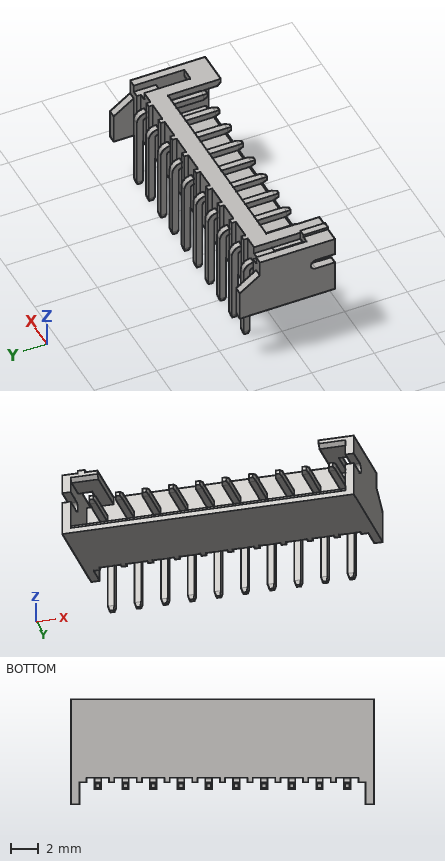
import cadquery as cq
import math


width = 21.9
depth = 7.6
height = 8.4

housing_height = 4.82
side_wall = 0.64
top_wall = 0.6
floor = 0.7
back_face = 5.67
cavity_depth = 4.23
lead_in_height = 0.3
lead_in_depth = 0.26
window_width = 16.6
cheek_top_depth = 6.0
cheek_slope_top = 3.6
cheek_slope_bottom = 2.45

notch_depth = 1.93
notch_bottom = 2.56
notch_height = 0.79
slot_front = 1.97
slot_width = 1.05
rib_width = 0.53
rib_height = 0.2

pin_count = 10
pin_row_length = 18.0
pin_size = 0.5
pin_axis_height = 3.1
pin_tip_y = 0.79
pin_leg_y = 6.25
pin_bend_radius = 0.75
contact_tip_length = 0.4
leg_tip_length = 0.35
tip_size = 0.3

tooth_width = 0.4

pitch = pin_row_length / (pin_count - 1)
ceiling = housing_height - top_wall
inner_width = width - 2 * side_wall
pin_leg_length = height - housing_height - rib_height


def box(x_min, x_max, y_min, y_max, z_min, z_max):
    """Box between two opposite corners."""
    size = (x_max - x_min, y_max - y_min, z_max - z_min)
    return cq.Workplane("XY").box(*size, centered=False).translate((x_min, y_min, z_min))


def across(profile, span):
    """Extrude a YZ profile to a width that is centred on X = 0."""
    return profile.extrude(span / 2, both=True)


def centred_box(x_centre, x_size, y_min, y_max, z_min, z_max):
    """Box with its X extent centred on x_centre."""
    return box(x_centre - x_size / 2, x_centre + x_size / 2, y_min, y_max, z_min, z_max)


def make_cheeks():
    """Side walls, reaching behind the back wall with a sloped rear edge."""
    outline = cq.Workplane("YZ").polyline([
        (0, 0),
        (depth, 0),
        (depth, cheek_slope_bottom),
        (cheek_top_depth, cheek_slope_top),
        (cheek_top_depth, housing_height),
        (0, housing_height),
    ]).close()
    between = centred_box(0, inner_width, 0, depth, 0, housing_height)
    return across(outline, width).cut(between)


def make_cavity():
    """Mating cavity, widening upwards and downwards at the mouth."""
    outline = cq.Workplane("YZ").polyline([
        (0, floor - lead_in_height),
        (lead_in_depth, floor),
        (cavity_depth, floor),
        (cavity_depth, ceiling),
        (lead_in_depth, ceiling),
        (0, ceiling + lead_in_height),
    ]).close()
    return across(outline, inner_width)


def make_teeth():
    """Ribs on the back wall, half a pitch to either side of every pin."""
    teeth = cq.Workplane("XY")
    for i in range(pin_count + 1):
        x = (i - pin_count / 2) * pitch
        teeth = teeth.union(centred_box(x, tooth_width, cavity_depth, cheek_top_depth, 0, housing_height))
    outer_rib = pitch * pin_count / 2
    for x_min, x_max in ((-width / 2, -outer_rib), (outer_rib, width / 2)):
        teeth = teeth.union(box(x_min, x_max, cavity_depth, cheek_top_depth, 0, housing_height))
    return teeth


def make_notches():
    """Round-ended slots through both side walls, open at the mouth."""
    radius = notch_height / 2
    straight = notch_depth - radius
    outline = (
        cq.Workplane("YZ")
        .moveTo(0, notch_bottom)
        .lineTo(straight, notch_bottom)
        .threePointArc((notch_depth, notch_bottom + radius), (straight, notch_bottom + notch_height))
        .lineTo(0, notch_bottom + notch_height)
        .close()
    )
    return across(outline, width)


def make_tip(base, length):
    """Square taper from the pin section to the smaller tip section."""
    return base.rect(pin_size, pin_size).workplane(offset=length).rect(tip_size, tip_size).loft()


def make_pin():
    """Square pin at X = 0, bent down behind the back wall, with both tips tapered."""
    bend_axis_radius = pin_bend_radius - pin_size / 2
    bend_y = pin_leg_y - bend_axis_radius
    bend_z = pin_axis_height - bend_axis_radius
    diagonal = bend_axis_radius * math.sqrt(0.5)
    contact_end = (pin_tip_y + contact_tip_length, pin_axis_height)
    leg_end_z = leg_tip_length - pin_leg_length

    path = (
        cq.Workplane("YZ")
        .moveTo(*contact_end)
        .lineTo(bend_y, pin_axis_height)
        .threePointArc((bend_y + diagonal, bend_z + diagonal), (pin_leg_y, bend_z))
        .lineTo(pin_leg_y, leg_end_z)
    )
    shaft = (
        cq.Workplane("XZ", origin=(0, *contact_end))
        .rect(pin_size, pin_size)
        .sweep(path)
    )
    contact_tip = make_tip(cq.Workplane("XZ", origin=(0, *contact_end)), contact_tip_length)
    leg_tip = make_tip(cq.Workplane("XY", origin=(0, pin_leg_y, leg_end_z)), -leg_tip_length)
    return shaft.union(contact_tip).union(leg_tip)


housing = centred_box(0, inner_width, 0, back_face, 0, housing_height)
housing = housing.union(make_cheeks()).union(make_teeth())
housing = housing.cut(make_cavity())
housing = housing.cut(centred_box(0, window_width, 0, cavity_depth, floor, housing_height))
housing = housing.cut(make_notches())

slot_centre = (inner_width - slot_width) / 2
for x in (-slot_centre, slot_centre):
    housing = housing.cut(centred_box(x, slot_width, slot_front, depth, ceiling, housing_height))

rib_centre = -inner_width / 2 + slot_width - rib_width / 2
housing = housing.union(
    centred_box(rib_centre, rib_width, 0, slot_front, ceiling + lead_in_height, housing_height + rib_height)
)

pin = make_pin()
for i in range(pin_count):
    housing = housing.union(pin.translate((i * pitch - pin_row_length / 2, 0, 0)))

result = housing